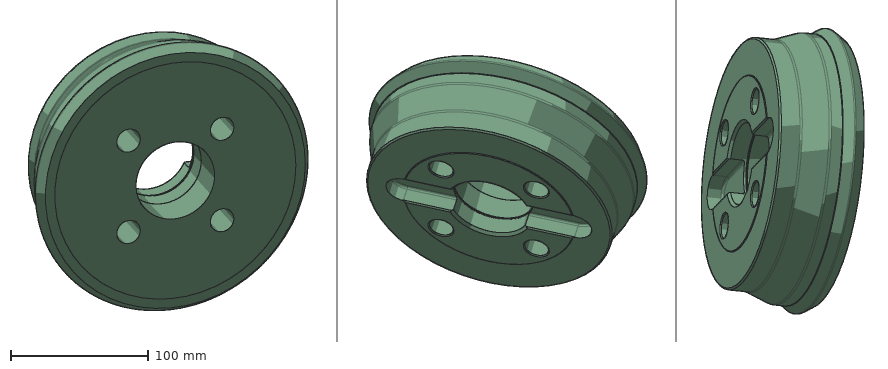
import cadquery as cq

total_width = 63.0
crest_diameter = 209.8

pad_height = 0.6
front_diameter = 185.0
front_edge_chamfer = 1.3
cone_start = 17.0
cone_end = 37.0
land_diameter = 199.5
land_end = 46.9
land_edge_chamfer = 0.6
cone_blend_radius = 5.2
crest_position = 54.6
crest_blend_radius = 1.3
back_diameter = 199.5

pad_diameter = 129.8
pad_top_diameter = pad_diameter - 2 * pad_height

bore_diameter = 60.0
rear_bore_diameter = 60.3
rear_bore_start = 32.5
bore_mouth_chamfer = 2.0
groove_diameter = 62.0
groove_start = 14.9
groove_width = 1.0

slot_length = 155.0
slot_width = 26.0
slot_depth = 13.0
slot_floor_fillet = 1.9
slot_mouth_chamfer = 1.0

bolt_hole_diameter = 18.0
bolt_spacing = 71.8
bolt_mouth_chamfer = 0.8

rim_seat_diameter = front_diameter


def revolve_about_x(outline):
    """Revolve a closed outline of (x, radius) points about the wheel axis."""
    return cq.Workplane("XY").polyline(outline).close().revolve(360, (0, 0, 0), (1, 0, 0))


def circles_at(body, position, diameter):
    """Circular edges centred on the wheel axis at one position and diameter."""
    edges = [
        edge for edge in body.edges("%CIRCLE").vals()
        if abs(edge.startPoint().x - position) < 0.0002 and abs(edge.radius() - diameter / 2) < 0.0002
    ]
    return body.newObject(edges)


def make_core_blank():
    """Cylindrical front, flared cone and land, with a spigot that carries the rim."""
    blank = revolve_about_x([
        (0, 0),
        (0, pad_top_diameter / 2),
        (pad_height, pad_diameter / 2),
        (pad_height, front_diameter / 2),
        (cone_start, front_diameter / 2),
        (cone_end, land_diameter / 2),
        (land_end, land_diameter / 2),
        (land_end, rim_seat_diameter / 2),
        (total_width, rim_seat_diameter / 2),
        (total_width, 0),
    ])
    blank = circles_at(blank, cone_start, front_diameter).fillet(cone_blend_radius)
    blank = circles_at(blank, cone_end, land_diameter).fillet(cone_blend_radius)
    blank = circles_at(blank, pad_height, front_diameter).chamfer(front_edge_chamfer)
    return circles_at(blank, land_end, land_diameter).chamfer(land_edge_chamfer)


def make_bore_cutter():
    """Through bore with a chamfered mouth, a narrow groove and a slightly wider rear."""
    bore_radius = bore_diameter / 2
    groove_end = groove_start + groove_width
    return revolve_about_x([
        (0, 0),
        (0, bore_radius + bore_mouth_chamfer),
        (bore_mouth_chamfer, bore_radius),
        (groove_start, bore_radius),
        (groove_start, groove_diameter / 2),
        (groove_end, groove_diameter / 2),
        (groove_end, bore_radius),
        (rear_bore_start, bore_radius),
        (rear_bore_start, rear_bore_diameter / 2),
        (total_width, rear_bore_diameter / 2),
        (total_width, 0),
    ])


def make_slot_cutter():
    """Round-ended slot with a filleted floor, and its chamfered mouth across the pad."""
    slot = cq.Workplane("YZ").slot2D(slot_length, slot_width).extrude(slot_depth)
    slot = slot.faces(">X").edges().fillet(slot_floor_fillet)
    half_width = slot_width / 2
    half_mouth = half_width + slot_mouth_chamfer
    mouth = (
        cq.Workplane("XZ")
        .polyline([
            (0, -half_mouth),
            (0, half_mouth),
            (slot_mouth_chamfer, half_width),
            (slot_mouth_chamfer, -half_width),
        ])
        .close()
        .extrude(pad_diameter / 2, both=True)
    )
    return slot.union(mouth)


def make_bolt_hole_cutters():
    """Four through holes with chamfered mouths."""
    radius = bolt_hole_diameter / 2
    hole = revolve_about_x([
        (0, 0),
        (0, radius + bolt_mouth_chamfer),
        (bolt_mouth_chamfer, radius),
        (total_width, radius),
        (total_width, 0),
    ])
    half = bolt_spacing / 2
    return [hole.translate((0, y, z)) for y in (-half, half) for z in (-half, half)]


def make_core():
    """Wheel core with bore, drive slot and bolt holes."""
    core = make_core_blank().cut(make_bore_cutter()).cut(make_slot_cutter())
    for hole in make_bolt_hole_cutters():
        core = core.cut(hole)
    return core


def make_rim():
    """Ring with a V-shaped crest, seated on the core spigot against the land."""
    rim = revolve_about_x([
        (land_end, rim_seat_diameter / 2),
        (land_end, land_diameter / 2),
        (crest_position, crest_diameter / 2),
        (total_width, back_diameter / 2),
        (total_width, rim_seat_diameter / 2),
    ])
    return circles_at(rim, crest_position, crest_diameter).fillet(crest_blend_radius)


core = make_core()
rim = make_rim()
result = cq.Compound.makeCompound([core.val(), rim.val()])